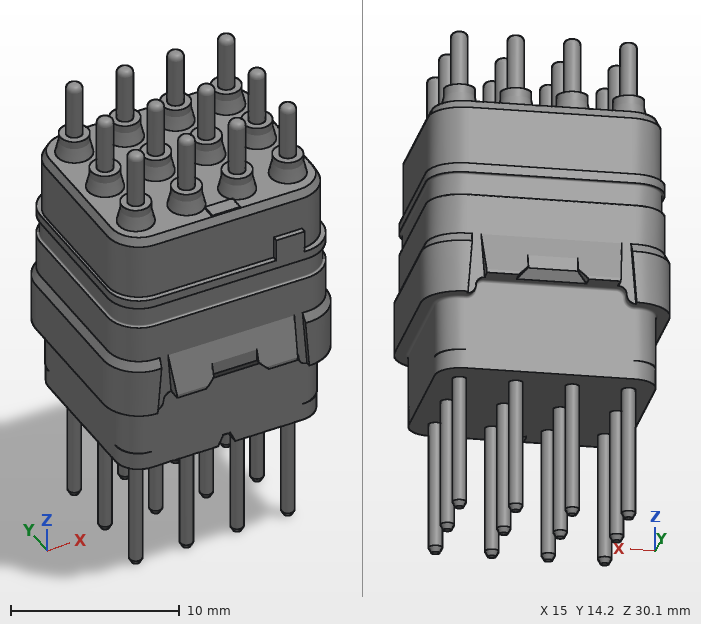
import cadquery as cq
import math

total_height = 30.1
pin_top = total_height / 2
pin_bottom = -total_height / 2
collar_top = 11.45
collar_base = 10.93
cover_top = 10.05
key_top = 7.35
flange_top = 5.87
groove_top = 5.3
groove_bottom = 3.88
skirt_top = 1.42
skirt_bottom = -2.38
band_top = -5.75
insert_bottom = -6.93

body_x = 14.4
body_y = 12.68
body_corner = 2.1
skirt_overhang = 0.3
skirt_x = body_x + 2 * skirt_overhang
skirt_y = body_y + 2 * skirt_overhang
skirt_bevel_height = 0.57
groove_depth = 0.18
groove_fillet = 0.1

cover_x = 14.03
cover_y = 11.98
cover_corner = 2.1
cover_bevel_inset = 0.27
cover_bevel_height = 0.5

insert_x = 13.3
insert_y = 11.55
insert_corner = 1.48
band_corner = 1.57
insert_fillet = 0.15

key_left = 3.05
key_right = 4.95

mark_width = 1.87
mark_outer_y = -5.72
mark_inner_y = -4.75
mark_height = 0.1

window_top_half = 4.8
window_bottom_half = 5.1
arch_half = 4.0

latch_span_y = 14.25
latch_reach = latch_span_y / 2
latch_bottom = -1.3
latch_tip_height = 0.2
latch_root_half = 4.25
latch_tip_half = 4.03

notch_half = 1.5
notch_floor_y = 6.75
notch_top = 0.12
notch_flare_top = -0.7
notch_flare_half = 2.1
notch_floor_setback = 0.4

slot_top = -6.2
slot_top_half = 0.25
slot_bottom_half = 0.57
slot_depth = 0.9

columns = 4
rows = 3
pitch_x = 3.4
pitch_y = 3.88
upper_pin_radius = 0.5
upper_pin_rounding = 0.35
lower_pin_radius = 0.42
lower_tip_radius = 0.25
lower_tip_height = 0.33
collar_radius = 0.93
cone_radius = 1.15


def rounded_block(size_x, size_y, corner, z_low, z_high):
    """Upright block with rounded vertical corners, centred on the Z axis."""
    block = cq.Workplane("XY").workplane(offset=z_low).rect(size_x, size_y).extrude(z_high - z_low)
    return block.edges("|Z").fillet(corner)


def both_long_faces(feature):
    """The feature together with its mirror image on the opposite long face."""
    return feature.union(feature.mirror("XZ"))


def front_prism(points, y_outer, y_inner):
    """Prism along Y whose outline is given as (x, z) points."""
    outline = cq.Workplane("XZ", origin=(0, y_outer, 0)).polyline(points).close()
    return outline.extrude(y_outer - y_inner)


def side_prism(points, half_width):
    """Prism along X, centred on X = 0, whose outline is given as (y, z) points."""
    return cq.Workplane("YZ").polyline(points).close().extrude(half_width, both=True)


def make_cover():
    cover = rounded_block(cover_x, cover_y, cover_corner, groove_top, cover_top)
    return cover.faces(">Z").chamfer(cover_bevel_height, cover_bevel_inset)


def horizontal_edges_within(solid, size_x, size_y, z_low, z_high):
    """Edges that are not vertical and lie inside a centred box."""
    margin = 0.03
    half_x = size_x / 2 + margin
    half_y = size_y / 2 + margin
    box = cq.selectors.BoxSelector(
        (-half_x, -half_y, z_low - margin),
        (half_x, half_y, z_high + margin),
        boundingbox=True,
    )
    return solid.edges(box).edges("not |Z")


def make_sleeve():
    """Main body with a sealing groove around it and a flange above the groove."""
    sleeve = rounded_block(body_x, body_y, body_corner, skirt_bottom, flange_top)
    groove_x = body_x - 2 * groove_depth
    groove_y = body_y - 2 * groove_depth
    ring = rounded_block(body_x, body_y, body_corner, groove_bottom, groove_top)
    core = rounded_block(groove_x, groove_y, body_corner - groove_depth, groove_bottom, groove_top)
    sleeve = sleeve.cut(ring.cut(core))
    corners = horizontal_edges_within(sleeve, groove_x, groove_y, groove_bottom, groove_top)
    return corners.fillet(groove_fillet)


def make_key():
    """Keying tab standing on the flange, flush with its front."""
    points = [
        (key_left, flange_top),
        (key_right, flange_top),
        (key_right, key_top),
        (key_left, key_top),
    ]
    return front_prism(points, -body_y / 2, -insert_y / 2)


def make_cover_mark():
    """Low raised rectangle near the front edge of the cover."""
    mark_length = mark_inner_y - mark_outer_y
    plane = cq.Workplane("XY", origin=(0, mark_outer_y, cover_top))
    return plane.box(mark_width, mark_length, mark_height, centered=(True, False, False))


def make_skirt():
    """Wider lower skirt with a bevelled top and a window in each long face."""
    skirt = rounded_block(skirt_x, skirt_y, body_corner + skirt_overhang, skirt_bottom, skirt_top)
    skirt = skirt.faces(">Z").chamfer(skirt_bevel_height, skirt_overhang)
    window = front_prism(
        [
            (-window_bottom_half, skirt_bottom),
            (window_bottom_half, skirt_bottom),
            (window_top_half, skirt_top),
            (-window_top_half, skirt_top),
        ],
        -skirt_y / 2,
        -body_y / 2,
    )
    return skirt.cut(both_long_faces(window))


def make_arch():
    """Opening below the latch: S-shaped ends join its flat top to the skirt bottom."""
    end_radius = (latch_bottom - skirt_bottom) / 2
    mid_z = skirt_bottom + end_radius
    mid_half = arch_half + end_radius
    low_half = arch_half + 2 * end_radius
    diagonal = end_radius * math.sqrt(0.5)
    high_arc_z = mid_z + diagonal
    low_arc_z = mid_z - diagonal
    outline = (
        cq.Workplane("XZ", origin=(0, -skirt_y / 2, 0))
        .moveTo(-arch_half, latch_bottom)
        .lineTo(arch_half, latch_bottom)
        .threePointArc((arch_half + diagonal, high_arc_z), (mid_half, mid_z))
        .threePointArc((low_half - diagonal, low_arc_z), (low_half, skirt_bottom))
        .lineTo(-low_half, skirt_bottom)
        .threePointArc((diagonal - low_half, low_arc_z), (-mid_half, mid_z))
        .threePointArc((-arch_half - diagonal, high_arc_z), (-arch_half, latch_bottom))
        .close()
    )
    return outline.extrude(-(skirt_y - insert_y) / 2)


def make_latch():
    """Ramped snap latch that fills the middle of the window."""
    ramp = side_prism(
        [
            (-body_y / 2, skirt_top),
            (-latch_reach, latch_bottom + latch_tip_height),
            (-latch_reach, latch_bottom),
            (-insert_y / 2, latch_bottom),
            (-insert_y / 2, skirt_top),
        ],
        latch_root_half,
    )
    sides = front_prism(
        [
            (-latch_tip_half, latch_bottom),
            (latch_tip_half, latch_bottom),
            (latch_root_half, skirt_top),
            (-latch_root_half, skirt_top),
        ],
        -latch_reach,
        -insert_y / 2,
    )
    return ramp.intersect(sides)


def make_notch():
    """Notch in the middle of the latch lip: flared at the bottom, where its floor slopes inward."""
    outline = front_prism(
        [
            (-notch_flare_half, latch_bottom),
            (notch_flare_half, latch_bottom),
            (notch_half, notch_flare_top),
            (notch_half, notch_top),
            (-notch_half, notch_top),
            (-notch_half, notch_flare_top),
        ],
        -latch_reach,
        -insert_y / 2,
    )
    depth = side_prism(
        [
            (-latch_reach, notch_top),
            (-notch_floor_y, notch_top),
            (-notch_floor_y, notch_flare_top),
            (-notch_floor_y + notch_floor_setback, latch_bottom),
            (-latch_reach, latch_bottom),
        ],
        notch_flare_half,
    )
    return outline.intersect(depth)


def make_insert():
    """Lower insert with a band of slightly rounder corners and a slot at its foot."""
    upper = rounded_block(insert_x, insert_y, insert_corner, band_top, groove_bottom)
    band = rounded_block(insert_x, insert_y, band_corner, insert_bottom, band_top)
    slot = front_prism(
        [
            (-slot_bottom_half, insert_bottom),
            (slot_bottom_half, insert_bottom),
            (slot_top_half, slot_top),
            (-slot_top_half, slot_top),
        ],
        -insert_y / 2,
        -insert_y / 2 + slot_depth,
    )
    return upper.union(band).cut(slot)


def make_contact():
    """One contact: pin and stepped collar, widened inside the housing above Z = 0."""
    shoulder_z = pin_top - upper_pin_rounding
    rounding_mid = upper_pin_rounding * math.sqrt(0.5)
    top_flat_radius = upper_pin_radius - upper_pin_rounding
    return (
        cq.Workplane("XZ")
        .moveTo(0, pin_bottom)
        .lineTo(lower_tip_radius, pin_bottom)
        .lineTo(lower_pin_radius, pin_bottom + lower_tip_height)
        .lineTo(lower_pin_radius, 0)
        .lineTo(cone_radius, 0)
        .lineTo(cone_radius, cover_top)
        .lineTo(collar_radius, collar_base)
        .lineTo(collar_radius, collar_top)
        .lineTo(upper_pin_radius, collar_top)
        .lineTo(upper_pin_radius, shoulder_z)
        .threePointArc(
            (top_flat_radius + rounding_mid, shoulder_z + rounding_mid),
            (top_flat_radius, pin_top),
        )
        .lineTo(0, pin_top)
        .close()
        .revolve(360, (0, 0, 0), (0, 1, 0))
    )


housing = make_sleeve().union(make_skirt())
housing = housing.union(both_long_faces(make_latch()))
housing = housing.cut(both_long_faces(make_notch()))
housing = housing.cut(both_long_faces(make_arch()))
housing = housing.union(make_insert())
joint = horizontal_edges_within(housing, insert_x, insert_y, skirt_bottom, latch_bottom)
housing = joint.fillet(insert_fillet)
housing = housing.union(make_cover()).union(make_key()).union(make_cover_mark())

contacts = (
    cq.Workplane("XY")
    .rarray(pitch_x, pitch_y, columns, rows)
    .eachpoint(make_contact().val(), combine=False)
)
result = housing
for contact in contacts.vals():
    result = result.union(cq.Workplane(contact))